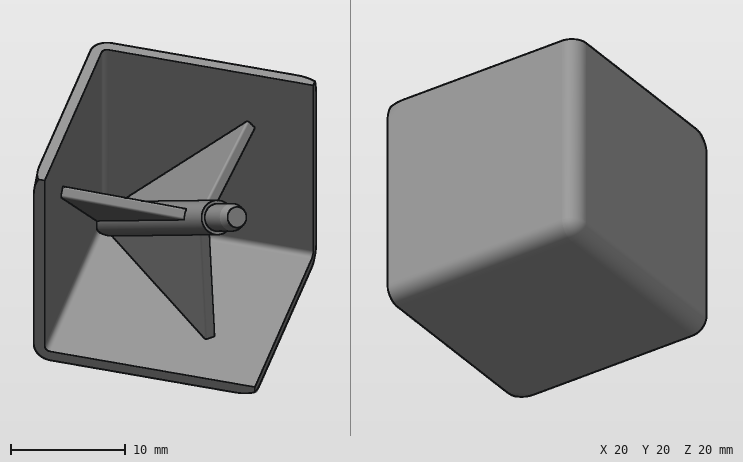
import cadquery as cq
import math


SIZE = 20.0
WALL = 1.0
INNER_RADIUS = 0.5
OUTER_RADIUS = INNER_RADIUS + WALL

TIP_LENGTH = 1.22
TIP_RADIUS = 2.0

PIN_RADIUS = 1.5
PIN_NECK_RADIUS = 1.2
PIN_SHOULDER = 26.5
PIN_LENGTH = 30.75
PIN_CHAMFER_LENGTH = 1.0
PIN_CHAMFER_DEPTH = 0.3

RIB_THICKNESS = 1.0
RIB_LENGTH = 19.0
RIB_DRAFT = 5.0
RIB_EDGE_RADIUS = 0.2

ORIGIN = (0, 0, 0)
SPACE_DIAGONAL = (1, 1, 1)


def rounded_corner_block(size, corner, radius):
    """Cube from one corner, with the three edges meeting there rounded."""
    block = cq.Workplane("XY").box(size, size, size, centered=False)
    block = block.edges("(<X and <Y) or (<X and <Z) or (<Y and <Z)").fillet(radius)
    return block.translate((corner, corner, corner))


def make_pin():
    """Stepped pin with a tapered tip, starting at the outer corner."""
    pin = (
        cq.Workplane(cq.Plane(ORIGIN, xDir=(1, -1, 0), normal=SPACE_DIAGONAL))
        .circle(PIN_RADIUS)
        .extrude(PIN_SHOULDER)
        .faces(">(1, 1, 1)")
        .workplane()
        .circle(PIN_NECK_RADIUS)
        .extrude(PIN_LENGTH - PIN_SHOULDER)
    )
    return pin.faces(">(1, 1, 1)").chamfer(PIN_CHAMFER_LENGTH, PIN_CHAMFER_DEPTH)


def make_rib():
    """Rib along the diagonal of the Z wall, from the outer corner to the pin axis."""
    slope = math.tan(math.radians(RIB_DRAFT))
    inner_corner = WALL * math.sqrt(2)
    foot_length = inner_corner + RIB_LENGTH + WALL * slope
    top_height = foot_length / (math.sqrt(2) + slope)
    rib = (
        cq.Workplane("XZ")
        .lineTo(foot_length, 0)
        .lineTo(top_height * math.sqrt(2), top_height)
        .close()
        .extrude(RIB_THICKNESS / 2, both=True)
    )
    rib = rib.faces(">X").edges("not |Y").fillet(RIB_EDGE_RADIUS)
    return rib.rotate(ORIGIN, (0, 0, 1), 45)


def make_tip_cutter():
    """Waste outside the rounding at the free corner of the Z wall."""
    start = SIZE * math.sqrt(2) - TIP_LENGTH
    end = start + TIP_RADIUS
    arc_middle = (
        start + TIP_RADIUS * math.sin(math.pi / 4),
        TIP_RADIUS * (1 - math.cos(math.pi / 4)),
    )
    cutter = (
        cq.Workplane("XZ")
        .moveTo(start, 0)
        .threePointArc(arc_middle, (end, TIP_RADIUS))
        .lineTo(end, 0)
        .close()
        .extrude(2 * TIP_LENGTH, both=True)
    )
    return cutter.rotate(ORIGIN, (0, 0, 1), 45)


outer_block = rounded_corner_block(SIZE, 0, OUTER_RADIUS)
cavity = rounded_corner_block(SIZE, WALL, INNER_RADIUS)
part = outer_block.cut(cavity)
pin_and_ribs = make_pin()

for turn in (0, 120, 240):
    part = part.cut(make_tip_cutter().rotate(ORIGIN, SPACE_DIAGONAL, turn))
    pin_and_ribs = pin_and_ribs.union(make_rib().rotate(ORIGIN, SPACE_DIAGONAL, turn))

part = part.union(pin_and_ribs.intersect(cavity))

result = part.rotate(ORIGIN, (0, 0, 1), -90)